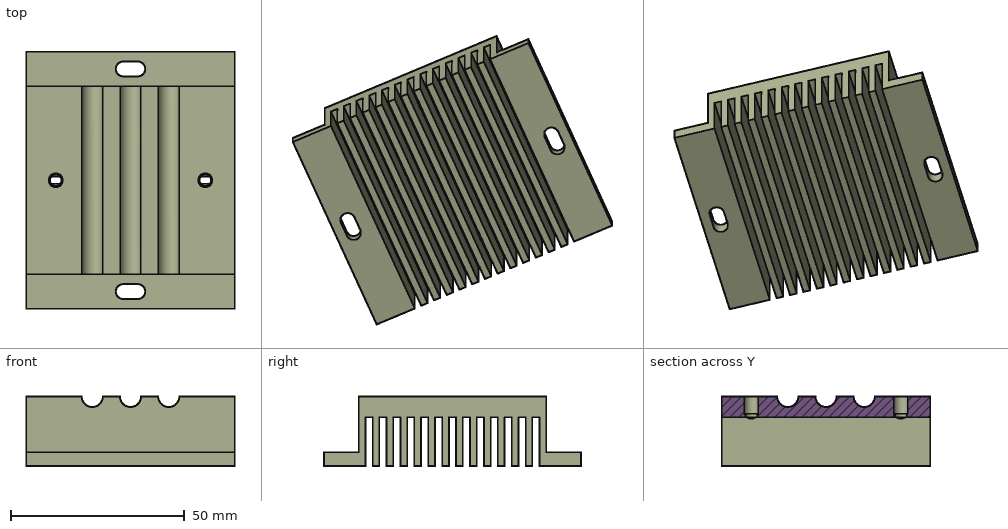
import cadquery as cq
import math

width = 60.0
height = 20.0
block_length = 54.0
flange_length = 10.0
flange_thickness = 4.0
overall_length = block_length + 2 * flange_length

slot_count = 13
slot_width = 2.0
slot_pitch = 4.0
plate_thickness = 6.0
slot_depth = height - plate_thickness

groove_count = 3
groove_radius = 3.0
groove_pitch = 11.0

mount_slot_width = 4.2
mount_slot_length = 8.4
mount_slot_y = (overall_length - flange_length) / 2

hole_diameter = 3.3
hole_depth = plate_thickness
mouth_diameter = 4.0
mouth_depth = 5.0
drill_point_angle = 118.0
hole_count = 2
hole_spacing = 43.0


def centred_positions(count, pitch):
    """Evenly spaced positions, symmetric about zero."""
    return [(i - (count - 1) / 2) * pitch for i in range(count)]


def make_body():
    """Flanged block standing on Z = 0."""
    base = cq.Workplane("XY").box(width, overall_length, flange_thickness, centered=(True, True, False))
    block = cq.Workplane("XY").box(width, block_length, height, centered=(True, True, False))
    return base.union(block)


def make_cooling_slots():
    """Slots that leave the fins standing below the top plate."""
    centres = [(0, y) for y in centred_positions(slot_count, slot_pitch)]
    return cq.Workplane("XY").pushPoints(centres).rect(width, slot_width).extrude(slot_depth)


def make_grooves():
    """Cylinders lying in the top face along the full block length."""
    centres = [(x, height) for x in centred_positions(groove_count, groove_pitch)]
    return (
        cq.Workplane("XZ", origin=(0, block_length / 2, 0))
        .pushPoints(centres)
        .circle(groove_radius)
        .extrude(block_length)
    )


def make_mount_slots():
    """Round-ended slots, long in X, one in each flange."""
    return (
        cq.Workplane("XY")
        .pushPoints([(0, -mount_slot_y), (0, mount_slot_y)])
        .slot2D(mount_slot_length, mount_slot_width)
        .extrude(flange_thickness)
    )


def make_stepped_hole(x):
    """Stepped profile with a conical end, revolved about a vertical axis."""
    hole_radius = hole_diameter / 2
    mouth_radius = mouth_diameter / 2
    point_depth = hole_radius / math.tan(math.radians(drill_point_angle / 2))
    profile = [
        (0, 0),
        (mouth_radius, 0),
        (mouth_radius, -mouth_depth),
        (hole_radius, -mouth_depth),
        (hole_radius, -hole_depth),
        (0, -hole_depth - point_depth),
    ]
    return cq.Workplane("XZ", origin=(x, 0, height)).polyline(profile).close().revolve(360, (0, 0), (0, 1))


result = make_body()
result = result.cut(make_cooling_slots())
result = result.cut(make_grooves())
result = result.cut(make_mount_slots())
for hole_x in centred_positions(hole_count, hole_spacing):
    result = result.cut(make_stepped_hole(hole_x))